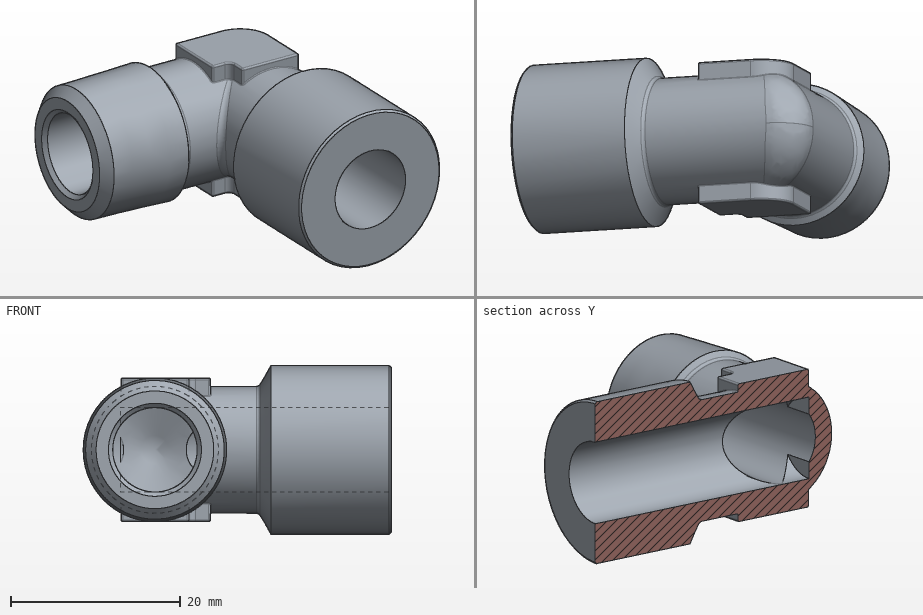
import cadquery as cq
import math

neck_radius = 7.5
socket_radius = 10.0
socket_end = 27.97
spigot_radius = 8.5
spigot_tip_radius = 8.2
spigot_end = 24.5

shoulder_start = 12.3
shoulder_angle = math.radians(60)
shoulder_fillet = 0.5
socket_edge_chamfer = 0.25
spigot_edge_chamfer = 1.25

outer_corner_radius = 4.38
inner_corner_radius = 0.75

pad_height = 8.5
pad_half_width = 4
pad_reach = 6.55
pad_inner_radius = 0.75
pad_edge_round = 0.22
pad_base_fillet = 0.1

bore_radius = 5.0
bore_mouth_chamfer = 0.5
socket_bore_overrun = 4.05
drill_apex = 6.35
drill_tip_half_angle = math.radians(70)

pick_margin = 0.05


def leg(end_radius, tip_radius, length, edge_chamfer):
    """Stepped leg along +X, mitred through the origin: neck, conical shoulder, (tapered) end."""
    shoulder_end = shoulder_start + (end_radius - neck_radius) / math.tan(shoulder_angle)
    solid = (
        cq.Workplane("XY")
        .polyline([
            (-2 * neck_radius, 0),
            (-2 * neck_radius, neck_radius),
            (shoulder_start, neck_radius),
            (shoulder_end, end_radius),
            (length - edge_chamfer, tip_radius),
            (length, tip_radius - edge_chamfer),
            (length, 0),
        ])
        .close()
        .revolve(360, (0, 0, 0), (1, 0, 0))
    )
    root = cq.selectors.BoxSelector(
        (shoulder_start - pick_margin, -end_radius, -end_radius),
        (shoulder_start + pick_margin, end_radius, end_radius),
    )
    solid = solid.edges(root).fillet(shoulder_fillet)
    beyond_mitre = (
        cq.Workplane("XY")
        .polyline([(-length, length), (-length, -length), (length, -length)])
        .close()
        .extrude(length, both=True)
    )
    return solid.cut(beyond_mitre)


def wrench_pads():
    """L-shaped flats rounded about the origin, standing proud on +Z and -Z."""
    diagonal = pad_half_width * math.sqrt(0.5)
    pads = (
        cq.Workplane("XY")
        .workplane(offset=-pad_height)
        .moveTo(0, pad_half_width)
        .lineTo(pad_reach, pad_half_width)
        .lineTo(pad_reach, -pad_half_width)
        .lineTo(pad_half_width, -pad_half_width)
        .lineTo(pad_half_width, -pad_reach)
        .lineTo(-pad_half_width, -pad_reach)
        .lineTo(-pad_half_width, 0)
        .threePointArc((-diagonal, diagonal), (0, pad_half_width))
        .close()
        .extrude(2 * pad_height)
    )
    notch = cq.selectors.NearestToPointSelector((pad_half_width, -pad_half_width, 0))
    ends_of_arc = cq.selectors.BoxSelector(
        (-pad_half_width - pick_margin, -pick_margin, -pick_margin),
        (pick_margin, pad_half_width + pick_margin, pick_margin),
    )
    upright = cq.selectors.StringSyntaxSelector("|Z")
    pads = pads.edges(upright - ends_of_arc - notch).fillet(pad_edge_round)
    pads = pads.edges(notch).fillet(pad_inner_radius)
    return pads.faces("<Z or >Z").edges().fillet(pad_edge_round)


def fillet_pad_bases(body):
    """Blend the pad walls into the necks along the closed line where they meet."""
    lowest = math.sqrt(neck_radius**2 - pad_half_width**2) - pad_inner_radius
    highest = neck_radius + pick_margin
    reach = pad_reach + pick_margin
    upper = cq.selectors.BoxSelector(
        (-reach, -reach, lowest), (reach, reach, highest), boundingbox=True
    )
    lower = cq.selectors.BoxSelector(
        (-reach, -reach, -highest), (reach, reach, -lowest), boundingbox=True
    )
    return body.edges(upper + lower).fillet(pad_base_fillet)


def spigot_bore():
    """Countersunk drilling along the spigot leg with a conical tip past the origin."""
    cone_start = drill_apex - bore_radius / math.tan(drill_tip_half_angle)
    return (
        cq.Workplane("XY")
        .polyline([
            (0, -spigot_end),
            (bore_radius + bore_mouth_chamfer, -spigot_end),
            (bore_radius, -spigot_end + bore_mouth_chamfer),
            (bore_radius, cone_start),
            (0, drill_apex),
        ])
        .close()
        .revolve(360, (0, 0, 0), (0, 1, 0))
    )


def socket_bore():
    """Flat-bottomed drilling along the socket leg, open at its end."""
    return (
        cq.Workplane("YZ")
        .workplane(offset=-socket_bore_overrun)
        .circle(bore_radius)
        .extrude(socket_bore_overrun + socket_end)
    )


socket_leg = leg(socket_radius, socket_radius, socket_end, socket_edge_chamfer)
spigot_leg = leg(spigot_radius, spigot_tip_radius, spigot_end, spigot_edge_chamfer)
spigot_leg = spigot_leg.mirror("YZ").rotate((0, 0, 0), (0, 0, 1), 90)
body = socket_leg.union(spigot_leg).union(wrench_pads())

body = body.edges("%ELLIPSE").edges("<X").fillet(outer_corner_radius)
body = body.edges("%ELLIPSE").edges(">X").fillet(inner_corner_radius)
body = fillet_pad_bases(body)

result = body.cut(spigot_bore()).cut(socket_bore())